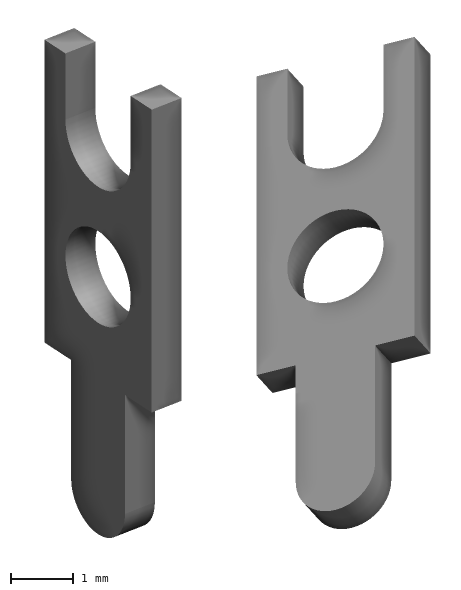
import cadquery as cq

total_height = 8.5
body_width = 2.8
thickness = 0.6

tail_width = 1.4
tail_radius = tail_width / 2
shoulder_z = 2.9

hole_diameter = 1.7
hole_radius = hole_diameter / 2
hole_z = 4.76
slot_depth = 2.07
slot_bottom_z = total_height - slot_depth
slot_center_z = slot_bottom_z + hole_radius


def make_plate():
    """Forked plate with a rounded tail, centred on X and Y, tail tip at Z = 0."""
    half_body = body_width / 2
    outline = (
        cq.Workplane("XZ", origin=(0, thickness / 2, 0))
        .moveTo(-half_body, total_height)
        .lineTo(-half_body, shoulder_z)
        .lineTo(-tail_radius, shoulder_z)
        .lineTo(-tail_radius, tail_radius)
        .threePointArc((0, 0), (tail_radius, tail_radius))
        .lineTo(tail_radius, shoulder_z)
        .lineTo(half_body, shoulder_z)
        .lineTo(half_body, total_height)
        .lineTo(hole_radius, total_height)
        .lineTo(hole_radius, slot_center_z)
        .threePointArc((0, slot_bottom_z), (-hole_radius, slot_center_z))
        .lineTo(-hole_radius, total_height)
        .close()
    )
    return outline.extrude(thickness)


def make_hole_cutter():
    """Cylinder along Y that fills the through hole."""
    return (
        cq.Workplane("XZ", origin=(0, thickness / 2, hole_z))
        .circle(hole_radius)
        .extrude(thickness)
    )


result = make_plate().cut(make_hole_cutter())